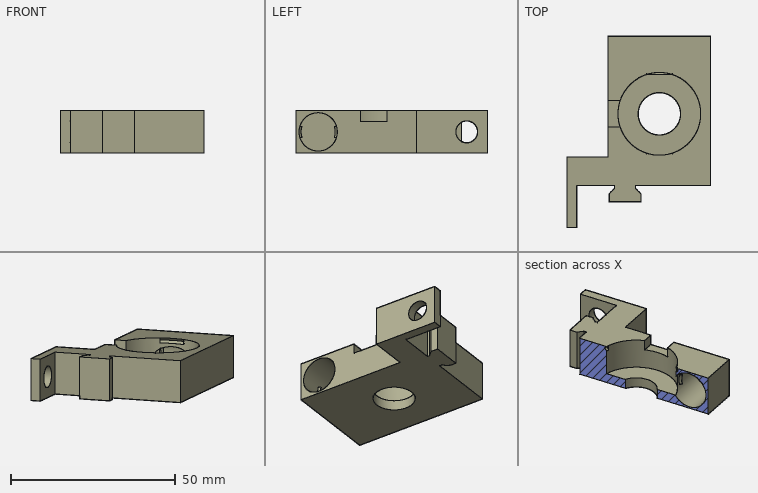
import cadquery as cq

length_x = 43.9
length_y = 58.4
thickness = 13.0
mid_height = thickness / 2

body_width = 31.3
body_depth = 45.6
arm_depth = 8.8
finger_width = 3.05
body_left = length_x - body_width
body_front = length_y - body_depth
arm_back = body_front + arm_depth

tongue_x = 17.75
tongue_width = 9.75
tongue_length = 4.9
neck_width = 6.5
neck_length = 0.8
flare_length = (tongue_width - neck_width) / 2

pocket_diameter = 25.25
pocket_depth = 9.7
pocket_from_back = 23.7
bore_diameter = 12.85
pocket_x = body_left + body_width / 2
pocket_y = length_y - pocket_from_back

notch_width = 8.1
notch_depth = 3.35

groove_angle = 35.6
back_angle = 90
front_angle = 270
groove_height = 1.6
groove_depth = groove_height / 2

side_hole_diameter = 11.7
side_hole_depth = 25.0
side_hole_from_back = 6.8
side_hole_y = length_y - side_hole_from_back

ridge_length = 3.35
ridge_height = 0.65
ridge_from_face = 8.2

finger_hole_diameter = 6.6
finger_hole_from_tip = 6.35


def make_plate():
    outline = [
        (0, 0),
        (finger_width, 0),
        (finger_width, body_front),
        (length_x, body_front),
        (length_x, length_y),
        (body_left, length_y),
        (body_left, arm_back),
        (0, arm_back),
    ]
    return cq.Workplane("XY").polyline(outline).close().extrude(thickness)


def make_tongue():
    neck_half = neck_width / 2
    tongue_half = tongue_width / 2
    shoulder = -neck_length - flare_length
    right_side = [
        (neck_half, 0),
        (neck_half, -neck_length),
        (tongue_half, shoulder),
        (tongue_half, -tongue_length),
    ]
    left_side = [(-x, y) for x, y in reversed(right_side)]
    base = cq.Workplane("XY", origin=(tongue_x, body_front, 0))
    return base.polyline(right_side + left_side).close().extrude(thickness)


def make_pocket():
    top = cq.Workplane("XY", origin=(pocket_x, pocket_y, thickness))
    recess = top.circle(pocket_diameter / 2).extrude(-pocket_depth)
    bore = top.circle(bore_diameter / 2).extrude(-thickness)
    return recess.union(bore)


def make_notch():
    run = pocket_x - body_left
    notch = cq.Workplane("XY").box(run, notch_width, notch_depth, centered=(False, True, False))
    return notch.translate((body_left, pocket_y, thickness - notch_depth))


def make_groove(middle_angle):
    radius = pocket_diameter / 2
    bottom_edge = thickness - groove_height
    tip = (radius + groove_depth, thickness - groove_height / 2)
    core = radius - groove_depth
    profile = [(core, bottom_edge), (radius, bottom_edge), tip, (radius, thickness), (core, thickness)]
    sector = cq.Workplane("XZ").polyline(profile).close().revolve(groove_angle, (0, 0, 0), (0, 1, 0))
    turned = sector.rotate((0, 0, 0), (0, 0, 1), middle_angle - groove_angle / 2)
    return turned.translate((pocket_x, pocket_y, 0))


def make_side_hole():
    mouth = cq.Workplane("YZ", origin=(body_left, side_hole_y, mid_height))
    return mouth.circle(side_hole_diameter / 2).extrude(side_hole_depth)


def make_ridges():
    crest_radius = side_hole_diameter / 2 - ridge_height
    root_rise = 2 * ridge_height
    root_radius = crest_radius + root_rise
    profile = [(-root_rise, root_radius), (0, crest_radius), (root_rise, root_radius)]
    ring = cq.Workplane("XY").polyline(profile).close().revolve(360, (0, 0, 0), (1, 0, 0))
    band = cq.Workplane("XY").box(2 * root_rise, 2 * root_radius, ridge_length)
    return ring.intersect(band).translate((body_left + ridge_from_face, side_hole_y, mid_height))


def make_finger_hole():
    face = cq.Workplane("YZ", origin=(0, finger_hole_from_tip, mid_height))
    return face.circle(finger_hole_diameter / 2).extrude(finger_width)


result = (
    make_plate()
    .union(make_tongue())
    .cut(make_side_hole())
    .union(make_ridges())
    .cut(make_pocket())
    .cut(make_notch())
    .cut(make_groove(back_angle))
    .cut(make_groove(front_angle))
    .cut(make_finger_hole())
)